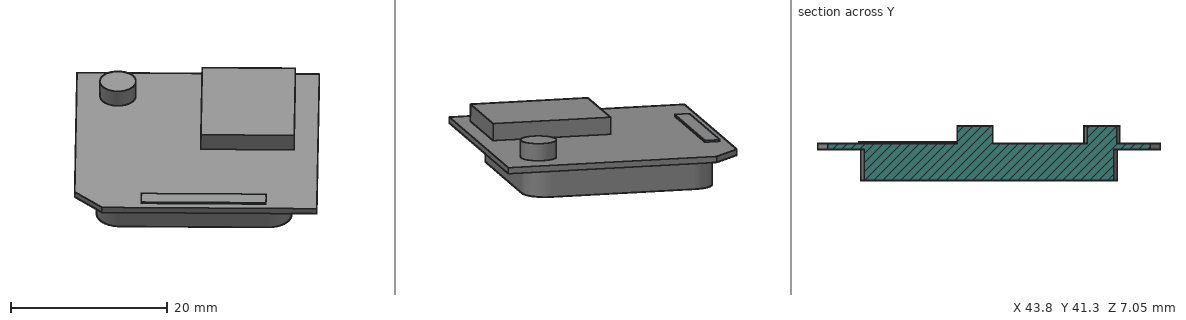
import cadquery as cq
import math

board_diagonal = 43.85
board_side = board_diagonal / math.sqrt(2)
board_depth = 41.35
board_thickness = 0.8
corner_cut_leg = (board_diagonal - board_depth) * math.sqrt(2)

housing_side = 25.0
housing_height = 4.0
housing_corner_radius = 3.02
housing_y = -0.35

part_height = 2.25
block_u_size, block_v_size = 11.92, 15.48
block_u, block_v = 6.5, 5.75
strip_u_size, strip_v_size = 15.95, 1.97
strip_u, strip_v = 1.0, -13.55
strip_height = 0.2
button_diameter = 4.6
button_x = -14.42

board_turn = 45


def turn(solid):
    """Turn a solid from the board's side directions into its diagonal position."""
    return solid.rotate((0, 0, 0), (0, 0, 1), board_turn)


def upright_box(u_size, v_size, height):
    """Box centred on the origin in plan, standing on the bottom plane of the board."""
    return cq.Workplane("XY").box(u_size, v_size, height, centered=(True, True, False))


def make_board():
    square = upright_box(board_side, board_side, board_thickness)
    return turn(square.edges("|Z and <X and <Y").chamfer(corner_cut_leg))


def make_housing():
    body = upright_box(housing_side, housing_side, housing_height)
    body = body.edges("|Z").fillet(housing_corner_radius)
    return turn(body).translate((0, housing_y, -housing_height))


def make_surface_part(u_size, v_size, height, u, v):
    """Rectangular part rising from the bottom of the board to height above its top."""
    body = upright_box(u_size, v_size, board_thickness + height)
    return turn(body.translate((u, v, 0)))


def make_button():
    profile = cq.Workplane("XY").center(button_x, 0).circle(button_diameter / 2)
    return profile.extrude(board_thickness + part_height)


result = (
    make_board()
    .union(make_housing())
    .union(make_surface_part(block_u_size, block_v_size, part_height, block_u, block_v))
    .union(make_surface_part(strip_u_size, strip_v_size, strip_height, strip_u, strip_v))
    .union(make_button())
)